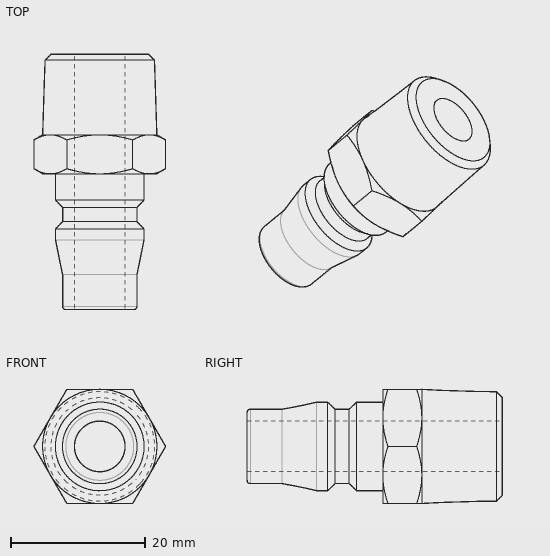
import cadquery as cq
import math


overall_length = 38.0
bore_diameter = 7.5

plug_radius = 6.6
neck_radius = 5.55
tip_fillet = 0.5
tip_end = 5.2
collar_start = 10.35
collar_end = 12.0
lock_flank_length = 1.1
groove_end = 16.3

hex_sides = 6
hex_across_flats = 17.0
hex_start = 20.2
hex_end = 26.0
hex_chamfer_angle = 30.0

gauge_length = 6.35
gauge_plane = overall_length - gauge_length
gauge_diameter = 16.662
taper_per_side = 1 / 32
end_chamfer = 0.9


def taper_radius(y):
    """Radius of the tapered thread envelope at station y."""
    return gauge_diameter / 2 - (y - gauge_plane) * taper_per_side


def revolve_about_y(outline):
    """Revolve a closed outline in the XY plane about the Y axis."""
    return outline.revolve(360, (0, 0, 0), (0, 1, 0))


def make_plug():
    """Plug with rounded tip, conical shoulder and locking groove."""
    tip_face_radius = neck_radius - tip_fillet
    arc_mid_offset = tip_fillet * math.sqrt(0.5)
    arc_mid = (tip_face_radius + arc_mid_offset, tip_fillet - arc_mid_offset)
    outline = (
        cq.Workplane("XY")
        .lineTo(tip_face_radius, 0)
        .threePointArc(arc_mid, (neck_radius, tip_fillet))
        .lineTo(neck_radius, tip_end)
        .lineTo(plug_radius, collar_start)
        .lineTo(plug_radius, collar_end)
        .lineTo(neck_radius, collar_end + lock_flank_length)
        .lineTo(neck_radius, groove_end - lock_flank_length)
        .lineTo(plug_radius, groove_end)
        .lineTo(plug_radius, hex_start)
        .lineTo(0, hex_start)
        .close()
    )
    return revolve_about_y(outline)


def make_hexagon():
    """Hexagon with flats facing +Z and -Z and both ends chamfered."""
    across_corners = hex_across_flats / math.cos(math.pi / hex_sides)
    flat_radius = hex_across_flats / 2
    corner_radius = across_corners / 2
    chamfer_length = (corner_radius - flat_radius) * math.tan(math.radians(hex_chamfer_angle))
    prism = (
        cq.Workplane("XZ", origin=(0, hex_start, 0))
        .polygon(hex_sides, across_corners)
        .extrude(hex_start - hex_end)
    )
    envelope = revolve_about_y(
        cq.Workplane("XY")
        .moveTo(0, hex_start)
        .lineTo(flat_radius, hex_start)
        .lineTo(corner_radius, hex_start + chamfer_length)
        .lineTo(corner_radius, hex_end - chamfer_length)
        .lineTo(flat_radius, hex_end)
        .lineTo(0, hex_end)
        .close()
    )
    return prism.intersect(envelope)


def make_thread_end():
    """Plain tapered body of the male thread, chamfered at its free end."""
    chamfer_start = overall_length - end_chamfer
    outline = (
        cq.Workplane("XY")
        .moveTo(0, hex_end)
        .lineTo(taper_radius(hex_end), hex_end)
        .lineTo(taper_radius(chamfer_start), chamfer_start)
        .lineTo(taper_radius(chamfer_start) - end_chamfer, overall_length)
        .lineTo(0, overall_length)
        .close()
    )
    return revolve_about_y(outline)


def make_bore():
    """Through bore along the Y axis."""
    return cq.Workplane("XZ").circle(bore_diameter / 2).extrude(-overall_length)


result = make_plug().union(make_hexagon()).union(make_thread_end()).cut(make_bore())